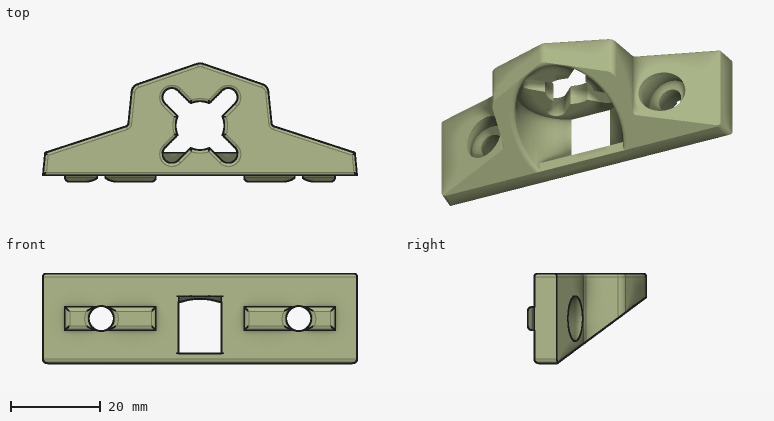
import cadquery as cq
import math

MARGIN = 0.35

LENGTH = 70.0
HEIGHT = 20.0
MID_Z = HEIGHT / 2
PLATE_THICKNESS = 5.05

APEX_Y = 25.05
SHOULDER = (15.1, 19.9)
ARMPIT = (16.0, 11.05)
WING_TIP = (34.5, PLATE_THICKNESS)
OUTER_CORNER_RADIUS = 2.0
INNER_CORNER_RADIUS = 0.7

TOP_ROUND = 0.7
BOTTOM_ROUND = 1.05

SLOPE_TOP_Z = 14.85

CROSS_Y = 11.05
CROSS_BORE_RADIUS = 5.4
CROSS_ARM_RADIUS = 2.0
CROSS_ARM_REACH = 9.0
CAVITY_RADIUS = 12.05
CAVITY_CEILING_Z = 15.0
CAVITY_FLOOR_Z = 2.25
CAVITY_RIM_ROUND = 1.0

KEY_START_X = 9.8
KEY_END_X = 30.1
KEY_HEIGHT = 5.25
KEY_DEPTH = 1.5
KEY_ROUND = 1.05

SCREW_X = 22.0
SCREW_DIAMETER = 5.5
SCREW_FLARE = 1.0
SCREW_HEAD_DIAMETER = 10.0


def body():
    """Plan outline with rounded corners and edges, cut off along the sloping underside."""
    half = [(LENGTH / 2, 0), WING_TIP, ARMPIT, SHOULDER]
    mirrored = [(-x, y) for x, y in reversed(half)]
    block = cq.Workplane("XY").polyline(half + [(0, APEX_Y)] + mirrored).close().extrude(HEIGHT)

    def upright_edges(x, y):
        selector = cq.selectors.BoxSelector((x - MARGIN, y - MARGIN, 0), (x + MARGIN, y + MARGIN, HEIGHT))
        return block.edges("|Z").edges(selector)

    for side in (-1, 1):
        block = upright_edges(side * SHOULDER[0], SHOULDER[1]).fillet(OUTER_CORNER_RADIUS)
        block = upright_edges(side * ARMPIT[0], ARMPIT[1]).fillet(INNER_CORNER_RADIUS)
    block = upright_edges(0, APEX_Y).fillet(OUTER_CORNER_RADIUS)

    block = block.faces(">Z").edges().fillet(TOP_ROUND)

    front_and_ends = cq.selectors.BoxSelector(
        (-LENGTH, -MARGIN, -MARGIN), (LENGTH, PLATE_THICKNESS / 2 + MARGIN, MARGIN)
    )
    block = block.faces("<Z").edges(front_and_ends).fillet(BOTTOM_ROUND)

    slope = SLOPE_TOP_Z / (APEX_Y - PLATE_THICKNESS)
    far_y = 2 * APEX_Y
    under_slope = (
        cq.Workplane("YZ")
        .polyline([(PLATE_THICKNESS, 0), (far_y, slope * (far_y - PLATE_THICKNESS)), (far_y, 0)])
        .close()
        .extrude(LENGTH, both=True)
    )
    return block.cut(under_slope)


def layer(bottom, top, depth=LENGTH):
    """Slab between two heights, reaching from the mounting face back to the given depth."""
    return cq.Workplane("XY", origin=(0, depth / 2, bottom)).rect(2 * LENGTH, depth).extrude(top - bottom)


def hollow_out(block):
    """Round cavity open at the slope and the mounting face, closed by a top plate and a floor."""
    bore = cq.Workplane("XY", origin=(0, CROSS_Y, 0)).circle(CAVITY_RADIUS).extrude(HEIGHT)
    ring = block.cut(bore)

    reach = CAVITY_RADIUS + MARGIN
    rim = cq.selectors.BoxSelector(
        (-reach, PLATE_THICKNESS - MARGIN, -MARGIN),
        (reach, CROSS_Y + reach, CAVITY_CEILING_Z),
        boundingbox=True,
    )
    ring = ring.edges("not |Z").edges(rim).fillet(CAVITY_RIM_ROUND)

    top_plate = block.intersect(layer(CAVITY_CEILING_Z, HEIGHT))
    floor = block.intersect(layer(0, CAVITY_FLOOR_Z, PLATE_THICKNESS))
    return ring.union(top_plate).union(floor)


def cross_opening():
    """Bore with four diagonal round-ended arms."""
    plane = cq.Workplane("XY", origin=(0, CROSS_Y, MID_Z))
    opening = plane.circle(CROSS_BORE_RADIUS).extrude(HEIGHT)
    arm_center = (CROSS_ARM_REACH - CROSS_ARM_RADIUS - TOP_ROUND) * math.sqrt(2)
    arm_length = 2 * (arm_center + CROSS_ARM_RADIUS)
    for angle in (45, 135):
        opening = opening.union(plane.slot2D(arm_length, 2 * CROSS_ARM_RADIUS, angle).extrude(HEIGHT))
    return opening


def round_cross_rim(part):
    """Round the top edges of the cross-shaped opening."""
    reach = CROSS_ARM_REACH + MARGIN
    rim = cq.selectors.BoxSelector(
        (-reach, CROSS_Y - reach, HEIGHT - MARGIN), (reach, CROSS_Y + reach, HEIGHT + MARGIN)
    )
    return part.faces(">Z").edges(rim).fillet(TOP_ROUND)


def key(side):
    """Bar standing out from the mounting face, its outer edges rounded."""
    length = KEY_END_X - KEY_START_X
    center_x = side * (KEY_START_X + KEY_END_X) / 2
    bar = cq.Workplane("XZ", origin=(center_x, 0, MID_Z)).rect(length, KEY_HEIGHT).extrude(KEY_DEPTH)
    return bar.faces("<Y").edges().fillet(KEY_ROUND)


def screw_hole(side):
    """Screw hole flared at the key, with a counterbore from behind."""
    radius = SCREW_DIAMETER / 2
    head_radius = SCREW_HEAD_DIAMETER / 2
    arc_inset = SCREW_FLARE * (1 - math.sqrt(0.5))
    profile = (
        cq.Workplane("XY")
        .moveTo(0, -KEY_DEPTH)
        .lineTo(radius + SCREW_FLARE, -KEY_DEPTH)
        .threePointArc(
            (radius + arc_inset, arc_inset - KEY_DEPTH),
            (radius, SCREW_FLARE - KEY_DEPTH),
        )
        .lineTo(radius, PLATE_THICKNESS)
        .lineTo(head_radius, PLATE_THICKNESS)
        .lineTo(head_radius, APEX_Y)
        .lineTo(0, APEX_Y)
        .close()
    )
    return profile.revolve(360, (0, 0, 0), (0, 1, 0)).translate((side * SCREW_X, 0, MID_Z))


result = round_cross_rim(hollow_out(body()).cut(cross_opening()))
for side in (-1, 1):
    result = result.union(key(side)).cut(screw_hole(side))